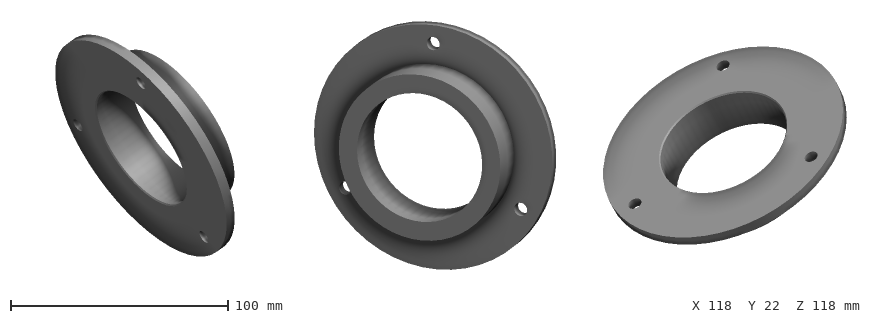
import cadquery as cq

flange_diameter = 118
flange_thickness = 5.0

hub_diameter = 80.0
total_depth = 22.0

bore_diameter = 61.9
bore_chamfer = 0.6

hole_count = 3
hole_diameter = 6.4
hole_circle_radius = 50.0
first_hole_angle = 90


def cylinder_along_y(diameter, length):
    """Solid cylinder from the flange face (Y = 0) towards +Y."""
    return cq.Workplane("XZ").circle(diameter / 2).extrude(-length)


flange = cylinder_along_y(flange_diameter, flange_thickness)
hub = cylinder_along_y(hub_diameter, total_depth)
bore = cylinder_along_y(bore_diameter, total_depth)

mounting_holes = (
    cq.Workplane("XZ")
    .polarArray(hole_circle_radius, first_hole_angle, 360, hole_count)
    .circle(hole_diameter / 2)
    .extrude(-flange_thickness)
)

body = flange.union(hub).cut(bore)
body = body.faces("<Y").edges(cq.selectors.RadiusNthSelector(0)).chamfer(bore_chamfer)

result = body.cut(mounting_holes)